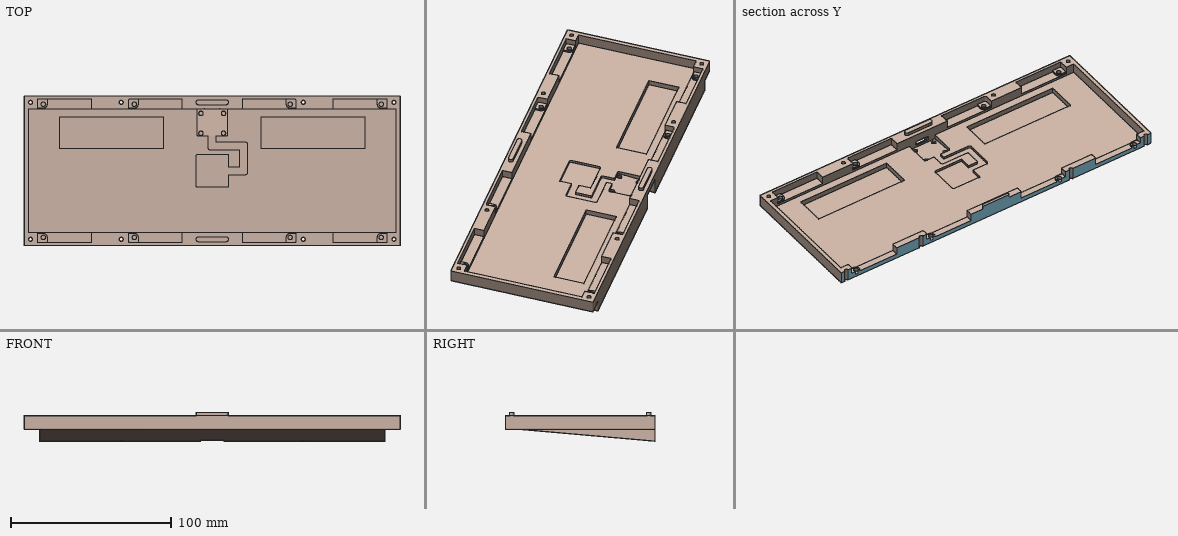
import cadquery as cq
import math

length = 235.0
width = 93.5
body_height = 8.7
edge_radius = 0.5
underside_radius = 0.7

end_wall = 2.5
cavity_half_width = 38.65
floor_z = -6.8

wedge_length = 215.7
wedge_angle = 5.0
bottom_z = -16.0
back_y = width / 2

bar_length = 20.2
bar_width = 3.0
bar_height = 2.0
fastener_y = 42.8

screw_diameter = 2.3
screw_xs = (56.9, 113.5)

ledge_spans = ((19.0, 52.5), (75.5, 109.3))
ledge_corner_radii = (1.2, 0)
ledge_outer_y = 44.9
ledge_z = -5.2
boss_top_z = -4.1
boss_diameter = 5.0
pilot_diameter = 2.8
pilot_y = 41.5
pilot_from_end = 3.8
pilot_depth = 2.3

side_pocket_length = 65.0
side_pocket_width = 19.7
side_pocket_x = 63.0
side_pocket_y = 23.7
side_pocket_depth = 3.5

square_side = 20.5
square_radius = 1.2
channel_width = 5.0
channel_radius = 1.5
channel_depth = 1.6
channel_start_x = -0.2
channel_upper_y = 15.5
channel_far_x = 19.62

board_width = 19.3
board_front_y = 21.5
board_radius = 1.2
board_front_depth = 1.6
board_hole_diameter = 2.8
board_hole_x = 7.0
board_hole_ys = (23.5, 36.0)
board_hole_depth = 1.5
board_hole_overlap = 0.2

port_width = 9.9
port_height = 3.0
port_z = -7.0
port_web = 1.2
plug_width = 14.8
plug_top_z = -4.7

wedge_slope = math.tan(math.radians(wedge_angle))
wedge_front_y = back_y - (-body_height - bottom_z) / wedge_slope
floor_plane = cq.Workplane("XY").workplane(offset=floor_z)


def block(x0, x1, y0, y1, z0, z1):
    """Box between two opposite corners."""
    return cq.Workplane("XY").box(x1 - x0, y1 - y0, z1 - z0, centered=False).translate((x0, y0, z0))


def body():
    shell = block(-length / 2, length / 2, -back_y, back_y, -body_height, 0)
    shell = shell.edges("|Z").fillet(edge_radius).faces("<Z").edges().fillet(underside_radius)
    wedge = (
        cq.Workplane("YZ")
        .polyline([(wedge_front_y, -body_height), (back_y, bottom_z), (back_y, floor_z), (wedge_front_y, floor_z)])
        .close()
        .extrude(wedge_length / 2, both=True)
    )
    wedge = wedge.edges("|Z and >Y").fillet(edge_radius)
    cavity_x = length / 2 - end_wall
    cavity = block(-cavity_x, cavity_x, -cavity_half_width, cavity_half_width, floor_z, 0)
    return shell.union(wedge).cut(cavity)


def ledge_recess(span, radius):
    """Recess in the +X, +Y quarter with its pilot boss left standing."""
    x0, x1 = span
    recess = block(x0, x1, 0, ledge_outer_y, ledge_z, 0)
    if radius:
        recess = recess.edges("|Z and >X and >Y").fillet(radius)
    recess = recess.intersect(block(x0, x1, cavity_half_width, back_y, ledge_z, 0))
    pilot_x = x1 - pilot_from_end
    boss_radius = boss_diameter / 2
    boss = block(pilot_x - boss_radius, x1, pilot_y, back_y, ledge_z, boss_top_z)
    boss = boss.union(block(pilot_x, x1, pilot_y - boss_radius, back_y, ledge_z, boss_top_z))
    boss_round = cq.Workplane("XY").workplane(offset=ledge_z).center(pilot_x, pilot_y)
    boss = boss.union(boss_round.circle(boss_radius).extrude(boss_top_z - ledge_z))
    pilot = cq.Workplane("XY").workplane(offset=boss_top_z).center(pilot_x, pilot_y)
    return recess.cut(boss).union(pilot.circle(pilot_diameter / 2).extrude(-pilot_depth))


def four_way(solid):
    """The solid and its mirror images in the four quarters."""
    pair = solid.union(solid.mirror("YZ"))
    return pair.union(pair.mirror("XZ"))


def screw_holes():
    points = [(sx * x, sy * fastener_y) for x in screw_xs for sx in (-1, 1) for sy in (-1, 1)]
    return cq.Workplane("XY").pushPoints(points).circle(screw_diameter / 2).extrude(bottom_z)


def locating_bars():
    points = [(0, -fastener_y), (0, fastener_y)]
    return cq.Workplane("XY").pushPoints(points).slot2D(bar_length, bar_width).extrude(bar_height)


def side_pockets():
    points = [(-side_pocket_x, side_pocket_y), (side_pocket_x, side_pocket_y)]
    return floor_plane.pushPoints(points).rect(side_pocket_length, side_pocket_width).extrude(-side_pocket_depth)


def square_pocket():
    pocket = floor_plane.rect(square_side, square_side).extrude(-channel_depth)
    return pocket.edges("|Z and <X").fillet(square_radius)


def channel_leg(x0, x1, y0, y1):
    """Straight stretch of channel between two centreline points."""
    half = channel_width / 2
    return block(x0 - half, x1 + half, y0 - half, y1 + half, floor_z - channel_depth, floor_z)


def cable_channel():
    drop = channel_leg(channel_start_x, channel_start_x, channel_upper_y, board_front_y)
    across = channel_leg(channel_start_x, channel_far_x, channel_upper_y, channel_upper_y)
    down = channel_leg(channel_far_x, channel_far_x, 0, channel_upper_y)
    entry = channel_leg(square_side / 2, channel_far_x, 0, 0)
    channel = drop.union(across).union(down).union(entry)
    return channel.edges("|Z and (<X or >X)").fillet(channel_radius)


def board_pocket():
    front_z = floor_z - board_front_depth
    back_z = front_z - wedge_slope * (cavity_half_width - board_front_y)
    profile = [
        (board_front_y, floor_z),
        (board_front_y, front_z),
        (cavity_half_width, back_z),
        (cavity_half_width, floor_z),
    ]
    pocket = cq.Workplane("YZ").polyline(profile).close().extrude(board_width / 2, both=True)
    pocket = pocket.edges("|Z and <Y").fillet(board_radius)
    for y in board_hole_ys:
        hole_z = front_z - wedge_slope * (y - board_front_y)
        for x in (-board_hole_x, board_hole_x):
            start = cq.Workplane("XY").workplane(offset=board_hole_overlap)
            hole = start.circle(board_hole_diameter / 2).extrude(-board_hole_depth - board_hole_overlap)
            hole = hole.rotate((0, 0, 0), (1, 0, 0), -wedge_angle).translate((x, y, hole_z))
            pocket = pocket.union(hole)
    return pocket


def connector_port():
    plug = block(-plug_width / 2, plug_width / 2, cavity_half_width + port_web, back_y, bottom_z, plug_top_z)
    port = (
        cq.Workplane("XZ", origin=(0, cavity_half_width, port_z))
        .slot2D(port_width, port_height)
        .extrude(cavity_half_width - back_y)
    )
    return plug.union(port)


result = body().union(locating_bars()).cut(screw_holes())
for span, radius in zip(ledge_spans, ledge_corner_radii):
    result = result.cut(four_way(ledge_recess(span, radius)))
for cutter in (side_pockets(), square_pocket(), cable_channel(), board_pocket(), connector_port()):
    result = result.cut(cutter)